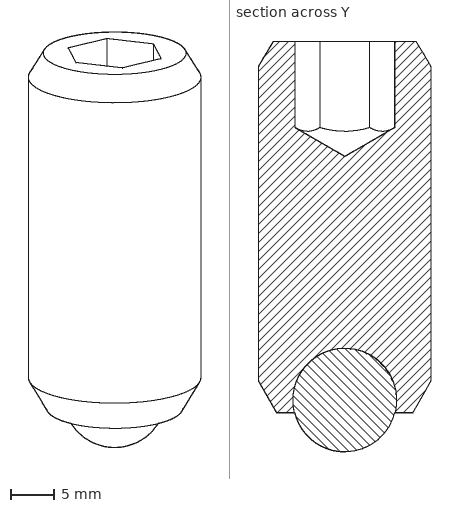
import cadquery as cq
import math

total_length = 47.5
body_diameter = 20.0
body_radius = body_diameter / 2

top_face_radius = 8.25
top_chamfer_height = 2.9
bottom_face_radius = 7.9
bottom_chamfer_height = 3.7

ball_radius = 6.0
ball_protrusion = 4.5

hex_across_flats = 9.98
hex_depth = 9.98
drill_point_angle = 120.0
hex_corner_radius = hex_across_flats / math.sqrt(3)
drill_point_depth = hex_corner_radius / math.tan(math.radians(drill_point_angle / 2))


def make_ball():
    """Full ball whose lowest point is at Z = 0."""
    return cq.Workplane("XY").sphere(ball_radius).translate((0, 0, ball_radius))


def make_hex_socket():
    """Hexagonal prism with corners on the X axis, ending in a cone cut to the hexagon."""
    deepest_z = total_length - hex_depth - drill_point_depth
    prism = (
        cq.Workplane("XY")
        .workplane(offset=deepest_z)
        .polygon(6, 2 * hex_corner_radius)
        .extrude(hex_depth + drill_point_depth)
    )
    pointed_bore = (
        cq.Workplane("XZ")
        .moveTo(0, deepest_z)
        .lineTo(hex_corner_radius, total_length - hex_depth)
        .lineTo(hex_corner_radius, total_length)
        .lineTo(0, total_length)
        .close()
        .revolve(360, (0, 0, 0), (0, 1, 0))
    )
    return prism.intersect(pointed_bore)


def make_body():
    """Chamfered cylinder with a hexagon socket above and a ball seat below."""
    body = (
        cq.Workplane("XZ")
        .moveTo(0, ball_protrusion)
        .lineTo(bottom_face_radius, ball_protrusion)
        .lineTo(body_radius, ball_protrusion + bottom_chamfer_height)
        .lineTo(body_radius, total_length - top_chamfer_height)
        .lineTo(top_face_radius, total_length)
        .lineTo(0, total_length)
        .close()
        .revolve(360, (0, 0, 0), (0, 1, 0))
    )
    return body.cut(make_hex_socket()).cut(make_ball())


body = make_body()
ball = make_ball()

result = cq.Compound.makeCompound([body.val(), ball.val()])